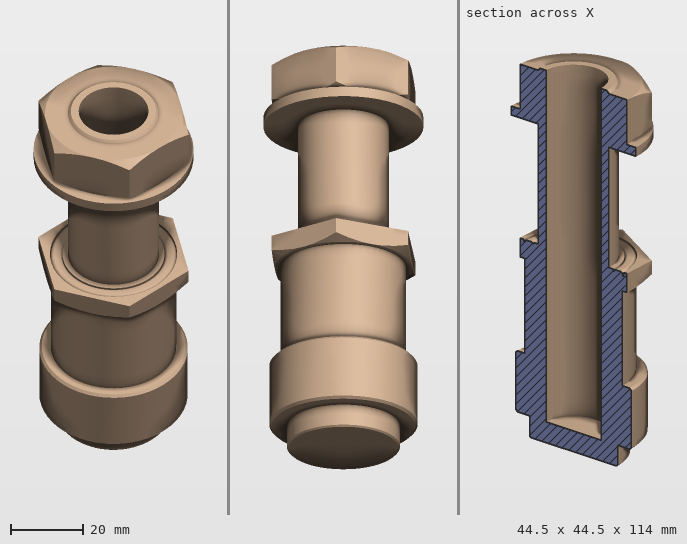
import cadquery as cq
import math

total_height = 114.0
collar_bottom = 6.5
collar_top = 25.3
lower_nut_bottom = 54.2
lower_nut_top = 60.1
washer_bottom = 96.7
washer_top = 99.6
upper_nut_top = 113.3

spigot_diameter = 31.5
collar_diameter = 41.3
sleeve_diameter = 34.9
stem_diameter = 25.3
bore_diameter = 19.4
washer_diameter = 44.5

nut_across_flats = 38.1
nut_across_corners = nut_across_flats / math.cos(math.pi / 6)
nut_chamfer_angle = 30.0

spigot_chamfer = 0.5
collar_chamfer = 0.7
stem_chamfer = 0.8

ring_inner_diameter = 30.5
ring_outer_diameter = 32.8
inner_groove_wall_diameter = 28.4
outer_groove_wall_diameter = 35.4

bore_floor = collar_bottom


def cylinder(diameter, bottom, top):
    return cq.Workplane("XY").workplane(offset=bottom).circle(diameter / 2).extrude(top - bottom)


def chamfer_cone(bottom, top, chamfer_top):
    """Turned envelope that cuts the nut corners back to the flats at its end faces."""
    face_radius = nut_across_flats / 2
    outer_radius = nut_across_corners / 2
    drop = (outer_radius - face_radius) * math.tan(math.radians(nut_chamfer_angle))
    profile = cq.Workplane("XZ").moveTo(0, bottom).lineTo(face_radius, bottom)
    profile = profile.lineTo(outer_radius, bottom + drop)
    if chamfer_top:
        profile = profile.lineTo(outer_radius, top - drop).lineTo(face_radius, top)
    else:
        profile = profile.lineTo(outer_radius, top)
    return profile.lineTo(0, top).close().revolve(360, (0, 0, 0), (0, 1, 0))


def hex_nut(bottom, top, chamfer_top):
    blank = cq.Workplane("XY").workplane(offset=bottom).polygon(6, nut_across_corners).extrude(top - bottom)
    return blank.intersect(chamfer_cone(bottom, top, chamfer_top))


def rounded_groove(wall_diameter, ring_diameter):
    """Groove with a vertical wall on one side and a quarter round up to the flat ring."""
    wall_radius = wall_diameter / 2
    ring_radius = ring_diameter / 2
    depth = abs(wall_radius - ring_radius)
    round_middle_radius = ring_radius + (wall_radius - ring_radius) * math.cos(math.pi / 4)
    round_middle_height = lower_nut_top - depth * (1 - math.sin(math.pi / 4))
    profile = cq.Workplane("XZ").moveTo(ring_radius, lower_nut_top).lineTo(wall_radius, lower_nut_top)
    profile = profile.lineTo(wall_radius, lower_nut_top - depth)
    profile = profile.threePointArc((round_middle_radius, round_middle_height), (ring_radius, lower_nut_top))
    profile = profile.close()
    return profile.revolve(360, (0, 0, 0), (0, 1, 0))


spigot = cylinder(spigot_diameter, 0, collar_bottom).faces("<Z").chamfer(spigot_chamfer)
collar = cylinder(collar_diameter, collar_bottom, collar_top).faces("<Z or >Z").chamfer(collar_chamfer)
sleeve = cylinder(sleeve_diameter, collar_top, lower_nut_bottom)
lower_nut = hex_nut(lower_nut_bottom, lower_nut_top, chamfer_top=False)
lower_nut = lower_nut.cut(rounded_groove(inner_groove_wall_diameter, ring_inner_diameter))
lower_nut = lower_nut.cut(rounded_groove(outer_groove_wall_diameter, ring_outer_diameter))

stem = cylinder(stem_diameter, lower_nut_top, total_height).faces(">Z").chamfer(stem_chamfer)
washer = cylinder(washer_diameter, washer_bottom, washer_top)
upper_nut = hex_nut(washer_top, upper_nut_top, chamfer_top=True)
bore = cylinder(bore_diameter, bore_floor, total_height)

result = spigot
for piece in (collar, sleeve, lower_nut, stem, washer, upper_nut):
    result = result.union(piece)
result = result.cut(bore)